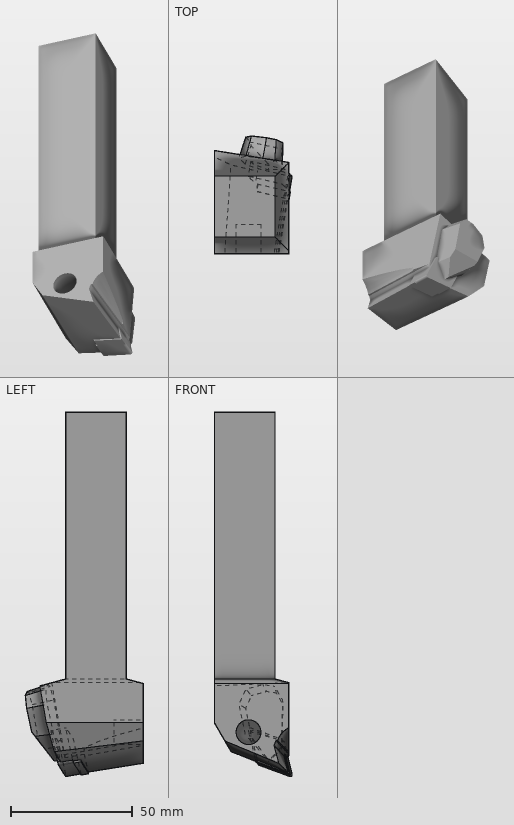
import cadquery as cq
import math

overall_height = 150.0
shank_size = 25.0
shank_front = 6.9
shank_back = shank_front + shank_size
shank_bottom = 40.2

head_width = 30.8
head_depth = 51.0
shoulder_slope = math.tan(math.radians(15))
corner_height = 22.2
corner_angle = 60.0
sole_start = (4.4, 14.7)
sole_slope_x = 0.415
sole_slope_y = 0.092

tip = (32.4, 31.7, -0.5)
rake_slope_x = 0.168
rake_slope_z = 0.178
rake = cq.Plane(origin=tip, xDir=(1, -rake_slope_x, 0), normal=(-rake_slope_x, -1, rake_slope_z))
back_face_depth = 1.2

insert_edge = 15.5
insert_thickness = 6.3
insert_angle = 55.0
sole_edge_angle = 160.0
nose_radius = 0.8
shim_thickness = 3.2
seat_depth = insert_thickness + shim_thickness
shim_inset = 0.5

flank_relief_height = 9.5
flank_relief_drop = 2.0
relief_reach = 7.5

gullet_radius = 8.1
gullet_centre = (6.9, 7.4)
gullet_flank_top = (-0.5, 3.0)
gullet_flank_bottom = (0.6, -4.5)

clamp_height = 9.0
clamp_draft = 8.0
clamp_outline = [(-23.3, 30.5), (-20.5, 36.8), (-13.5, 38.7), (-8.5, 38.0),
                 (-5.1, 32.3), (-5.1, 12.8), (-10.5, 6.6), (-20.3, 18.0)]
clamp_nose_start = (46.8, 19.5)
clamp_nose_end = (36.3, 6.0)

hole_diameter = 10.2
hole_centre = (14.1, 18.3)
hole_depth = 12.0

overrun = 90.0


def diamond(edge):
    """Points of the insert diamond, starting at the tip."""
    low = math.radians(sole_edge_angle)
    high = math.radians(sole_edge_angle - insert_angle)
    a = (edge * math.cos(low), edge * math.sin(low))
    b = (edge * math.cos(high), edge * math.sin(high))
    return [(0, 0), a, (a[0] + b[0], a[1] + b[1]), b]


def tilted_prism(points, start, depth):
    """Prism square to the rake face, from a start depth below it."""
    return cq.Workplane(rake).workplane(offset=start).polyline(points).close().extrude(depth)


def make_insert():
    body = tilted_prism(diamond(insert_edge), 0, insert_thickness)
    return body.edges(cq.selectors.ParallelDirSelector(rake.zDir)).fillet(nose_radius)


def make_shank():
    return (cq.Workplane("XY").workplane(offset=shank_bottom)
            .rect(shank_size, shank_size)
            .extrude(overall_height - shank_bottom)
            .translate((shank_size / 2, shank_front + shank_size / 2, 0)))


def shoulder_wedge(plane, start, direction):
    """Space above one shoulder, falling outwards from a side of the shank."""
    end = start + direction * overrun
    return (cq.Workplane(plane)
            .polyline([(start, shank_bottom), (end, shank_bottom - overrun * shoulder_slope),
                       (end, shank_bottom + overrun)]).close().extrude(overrun, both=True))


def corner_trim():
    run = corner_height / math.tan(math.radians(corner_angle))
    return (cq.Workplane("XZ").polyline([(0, 0), (run, 0), (0, corner_height)]).close()
            .extrude(-head_depth))


def sole_trim():
    """Space below the sole, which falls towards the right and the back."""
    plane = cq.Plane(origin=(sole_start[0], 0, sole_start[1]), xDir=(1, 0, -sole_slope_x),
                     normal=(-sole_slope_x, -sole_slope_y, -1))
    return cq.Workplane(plane).rect(overrun * 2, overrun * 2).extrude(overrun)


def back_trim():
    return (cq.Workplane(rake).workplane(offset=back_face_depth)
            .rect(overrun * 2, overrun * 2).extrude(-overrun))


def make_head():
    head = cq.Workplane("XY").box(head_width, head_depth, shank_bottom, centered=False)
    head = head.cut(shoulder_wedge("YZ", shank_front, -1))
    head = head.cut(shoulder_wedge("YZ", shank_back, 1))
    head = head.cut(shoulder_wedge("XZ", shank_size, 1))
    return head.cut(corner_trim()).cut(sole_trim()).cut(back_trim())


def flank_relief():
    """Clears the head beside the insert flank."""
    high = math.radians(sole_edge_angle - insert_angle)
    top = flank_relief_height - flank_relief_drop
    lean = top / math.tan(high)
    points = [(-shim_inset, -relief_reach), (-shim_inset, 0), (lean - shim_inset, top),
              (head_width - tip[0], flank_relief_height),
              (relief_reach, flank_relief_height), (relief_reach, -relief_reach)]
    return tilted_prism(points, -relief_reach, overrun)


def gullet():
    """Round groove with a flat flank, ending at the underside of the shim."""
    bottom = cq.Workplane(rake).workplane(offset=seat_depth)
    groove = bottom.center(*gullet_centre).circle(gullet_radius).extrude(overrun)
    points = [gullet_flank_top, gullet_flank_bottom,
              (relief_reach, gullet_flank_bottom[1]), (relief_reach, gullet_flank_top[1])]
    return groove.union(tilted_prism(points, seat_depth, overrun))


def make_clamp():
    clamp = (cq.Workplane(rake).workplane(offset=back_face_depth)
             .polyline(clamp_outline).close().extrude(-clamp_height, taper=clamp_draft))
    nose = (cq.Workplane("YZ")
            .polyline([clamp_nose_start, clamp_nose_end, (overrun, clamp_nose_end[1] - overrun),
                       (overrun, clamp_nose_start[1])]).close().extrude(overrun))
    return clamp.cut(nose)


def screw_hole():
    return (cq.Workplane("XZ").center(*hole_centre).circle(hole_diameter / 2)
            .extrude(-hole_depth))


insert = make_insert()
shim = tilted_prism(diamond(insert_edge - 2 * shim_inset), insert_thickness, shim_thickness)
holder = make_shank().union(make_head().cut(flank_relief()).cut(gullet()))
holder = holder.union(shim).union(make_clamp()).cut(screw_hole()).cut(insert)

result = cq.Compound.makeCompound([*holder.solids().vals(), insert.val()])